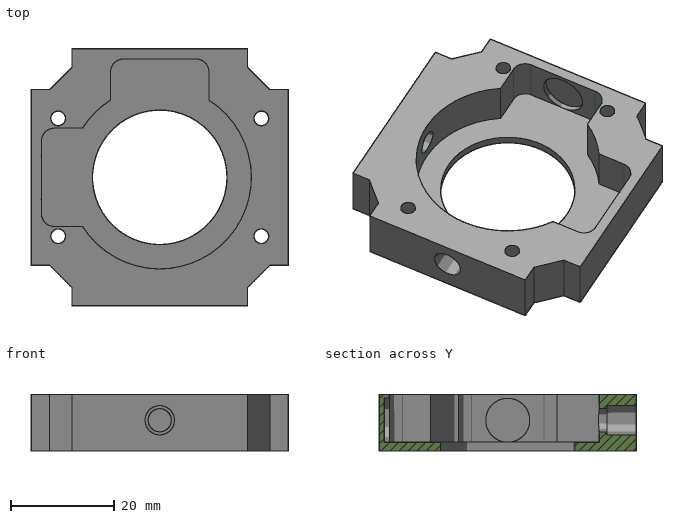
import cadquery as cq

side = 49.8
height = 11.0
half = side / 2
floor_thickness = 1.75

edge_half_length = 17.05
notch_shoulder = 21.3

bore_diameter = 26.0
chamber_diameter = 35.45
pocket_width = 19.0
pocket_reach = 22.9
pocket_corner_radius = 2.5

mount_hole_diameter = 2.8
mount_spacing_x = 39.35
mount_spacing_y = 22.8

port_outer_diameter = 5.7
port_inner_diameter = 4.5
port_outer_depth = 5.75
seat_diameter = 8.5
seat_depth = 1.0
axis_height = floor_thickness + seat_diameter / 2

layout_turns = (0, 90)


def make_plate():
    """Square plate with a stepped, 45-degree notch at each corner."""
    upper_right = [
        (half, edge_half_length),
        (notch_shoulder, edge_half_length),
        (edge_half_length, notch_shoulder),
        (edge_half_length, half),
    ]
    upper_left = [(-x, y) for x, y in reversed(upper_right)]
    lower = [(-x, -y) for x, y in upper_right + upper_left]
    return cq.Workplane("XY").polyline(upper_right + upper_left + lower).close().extrude(height)


def make_pocket():
    """Pocket from the part axis towards +Y, down to the floor, with rounded outer corners."""
    return (
        cq.Workplane("XY", origin=(0, pocket_reach / 2, floor_thickness))
        .rect(pocket_width, pocket_reach)
        .extrude(height - floor_thickness)
        .edges("|Z and >Y")
        .fillet(pocket_corner_radius)
    )


def cylinder_along_y(diameter, y_start, length):
    """Horizontal cylinder at port height, running from y_start towards +Y."""
    start = cq.Vector(0, y_start, axis_height)
    return cq.Workplane(cq.Solid.makeCylinder(diameter / 2, length, start, cq.Vector(0, 1, 0)))


def make_side_cutter():
    """Pocket with its shallow round seat, and the stepped port opposite."""
    seat = cylinder_along_y(seat_diameter, 0, pocket_reach + seat_depth)
    port_outer = cylinder_along_y(port_outer_diameter, -half, port_outer_depth)
    port_inner = cylinder_along_y(port_inner_diameter, -half, half)
    return make_pocket().union(seat).union(port_outer).union(port_inner)


result = make_plate()

chamber = (
    cq.Workplane("XY", origin=(0, 0, floor_thickness))
    .circle(chamber_diameter / 2)
    .extrude(height - floor_thickness)
)
bore = cq.Workplane("XY").circle(bore_diameter / 2).extrude(height)
result = result.cut(chamber).cut(bore)

for turn in layout_turns:
    result = result.cut(make_side_cutter().rotate((0, 0, 0), (0, 0, 1), turn))

mount_holes = (
    cq.Workplane("XY")
    .rarray(mount_spacing_x, mount_spacing_y, 2, 2)
    .circle(mount_hole_diameter / 2)
    .extrude(height)
)
result = result.cut(mount_holes)